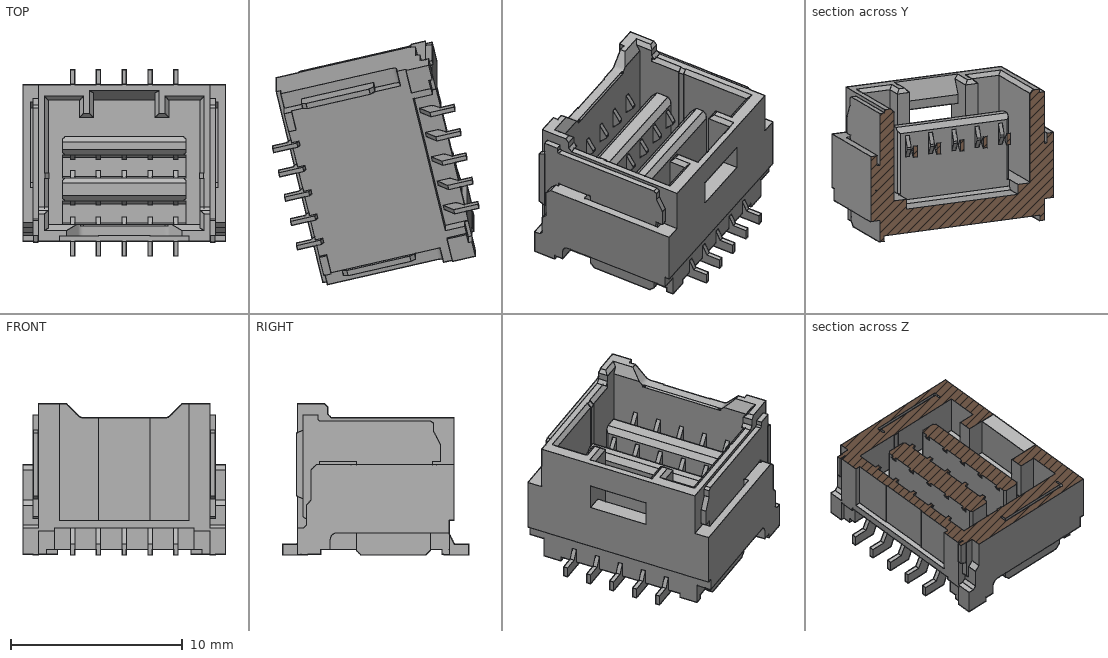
import cadquery as cq
import math


half_width = 5.0
half_depth = 4.56
base_z = 0.05
rim_z = 8.0
front_top_z = 8.82
front_block_y = -2.78
front_block_chamfer = 0.2
back_step_y = 4.29
back_step_z = 2.02

cavity_half_width = 4.42
cavity_front_y = -3.58
cavity_back_y = 3.65
cavity_floor_z = 2.4
rim_chamfer = 0.23
rib_inner_x = 1.8
rib_outer_x = 2.6
rib_front_y = 2.65
nub_back_y = -0.6
nub_length = 0.32
nub_height = 0.05
front_lip_y = -3.94
front_lead_in_bottom_z = 8.22

window_bottom_z = 4.84
window_top_z = 6.4
window_lead_in_z = 6.93
window_lead_in_y = 4.2

panel_half_width = 3.76
panel_bottom_z = 2.02
panel_y = -4.26
center_panel_half_width = 1.5
center_panel_y = -4.22
notch_top_half_width = 3.36
notch_fillet = 0.41
notch_edge_chamfer = 0.09

undercut_half_width = 4.07
undercut_top_z = 1.57
undercut_back_y = -3.2
body_bottom_z = 0.33
front_foot_y = -4.35
front_foot_back_y = -3.19
foot_step_x = 4.51
foot_top_z = 1.4
back_foot_y = 3.85
back_foot_inner_x = 3.88

flange_x = 5.9
flange_top_z = 5.27
flange_bottom_z = 1.3
flange_upper_front_y = -3.77
flange_lower_front_y = -4.04
flange_top_corner = 0.31
flange_step_top_z = 3.2
flange_step_bottom_z = 2.9
flange_ledge_corner = 0.18
flange_arch_y = -2.65
flange_arch_radius = 0.4

pocket_x = 5.46
pocket_depth = 0.6
pocket_back_y = 3.54
pocket_front_y = -1.44

plate_x = 5.32
plate_top_z = 7.8
plate_front_top_z = 8.16
plate_front_y = -4.22
plate_front_step_y = -3.36
plate_front_bottom_z = 2.13
plate_front_corner = 0.12
plate_step_corner = 0.1
plate_back_y = 3.76
plate_back_top_y = 3.36
plate_back_corner_y = 3.19
plate_back_corner_z = 7.68
plate_slope_top_z = 7.22
plate_slope_bottom_z = 6.45
plate_shoulder_z = 5.45
plate_neck_back_y = 3.31
plate_notch_front_y = -3.28
tab_back_y = 3.19
tab_front_y = -1.13
tab_corner = 0.28

blade_inner_x = 5.03
blade_outer_x = 5.28
blade_front_y = -4.62
blade_top_z = 7.28
blade_bottom_z = 3.28
blade_corner = 0.17

bar_half_length = 3.58
bar_top_z = 6.36
bar_chamfer = 0.31
bar_end_chamfer = 0.14
rear_bar_back_y = 1.53
rear_bar_front_y = 0.46
front_bar_back_y = -0.87
front_bar_front_y = -2.21
slot_floor_z = 1.8
slot_flare_height = 0.2
slot_front_flare = 0.09
rear_slot_back_flare = 0.14
front_slot_back_flare = 0.18

contact_top_z = 5.88
contact_tip_top_z = 5.23
contact_tip_bottom_z = 5.1
contact_bottom_z = 4.6
contact_front_reach = 0.25
contact_back_reach = 0.44
contact_root = 0.05

pin_pitch = 1.5
pin_count = 5
pin_width = 0.26
pin_tip_y = 5.425
pin_foot_height = 0.65
pin_bend_y = 4.58
pin_heel_y = 3.98
pin_root_y = 3.35
pin_lean = 0.46
pin_xs = [(i - (pin_count - 1) / 2) * pin_pitch for i in range(pin_count)]


def block(x0, x1, y0, y1, z0, z1):
    """Box given by its limits along each axis."""
    return cq.Workplane("XY").box(x1 - x0, y1 - y0, z1 - z0, centered=False).translate((x0, y0, z0))


def side_prism(points, x0, x1):
    """Prism along X over a closed (y, z) outline."""
    return cq.Workplane("YZ").polyline(points).close().extrude(x1 - x0).translate((x0, 0, 0))


def both_sides(solid):
    """The solid together with its mirror image across the YZ plane."""
    return solid.union(solid.mirror("YZ"))


def make_shell():
    sill_z = foot_top_z
    profile = [
        (-half_depth, sill_z),
        (-half_depth, front_top_z),
        (front_block_y, front_top_z),
        (front_block_y, rim_z),
        (half_depth, rim_z),
        (half_depth, back_step_z),
        (back_step_y, back_step_z),
        (back_step_y, body_bottom_z),
        (undercut_back_y, body_bottom_z),
        (undercut_back_y, sill_z),
    ]
    shell = side_prism(profile, -half_width, half_width)
    for edge_z in (front_top_z, rim_z):
        edge = cq.selectors.NearestToPointSelector((0, front_block_y, edge_z))
        shell = shell.edges(edge).chamfer(front_block_chamfer)
    undercut = block(-undercut_half_width, undercut_half_width, -half_depth, undercut_back_y,
                     body_bottom_z, undercut_top_z)
    return shell.cut(undercut)


def make_feet():
    front = block(undercut_half_width, half_width, front_foot_y, front_foot_back_y, body_bottom_z, foot_top_z)
    front_pad = block(foot_step_x, half_width, front_foot_y, front_foot_back_y, base_z, body_bottom_z)
    back = block(back_foot_inner_x, half_width, back_foot_y, back_step_y, base_z, body_bottom_z)
    return both_sides(front.union(front_pad).union(back))


def cavity_outline(offset):
    """Plan outline of the cavity, widened all round by the offset."""
    x_wall = cavity_half_width + offset
    x_rib_outer = rib_outer_x - offset
    x_rib_inner = rib_inner_x + offset
    y_front = cavity_front_y - offset
    y_back = cavity_back_y + offset
    y_rib = rib_front_y + offset
    right_half = [
        (x_wall, y_front),
        (x_wall, y_back),
        (x_rib_outer, y_back),
        (x_rib_outer, y_rib),
        (x_rib_inner, y_rib),
        (x_rib_inner, y_back),
    ]
    left_half = [(-x, y) for x, y in reversed(right_half)]
    return right_half + left_half


def make_cavity():
    chamfer_z = rim_z - rim_chamfer
    well = cq.Workplane("XY").workplane(offset=cavity_floor_z).polyline(cavity_outline(0)).close()
    well = well.extrude(rim_z - cavity_floor_z)
    mouth = cq.Workplane("XY").workplane(offset=chamfer_z).polyline(cavity_outline(0)).close()
    mouth = mouth.workplane(offset=rim_chamfer).polyline(cavity_outline(rim_chamfer)).close()
    mouth = mouth.loft(ruled=True)
    low_rim = block(-half_width, half_width, front_block_y, half_depth, chamfer_z, rim_z)
    return well.union(mouth.intersect(low_rim)).cut(make_nubs())


def make_nubs():
    """Slight thickening of each side wall, chamfered like the rim."""
    inner_x = cavity_half_width - nub_height
    outline = [
        (inner_x, cavity_floor_z),
        (inner_x, rim_z - rim_chamfer),
        (inner_x + rim_chamfer, rim_z),
        (half_width, rim_z),
        (half_width, cavity_floor_z),
    ]
    nub = cq.Workplane("XZ").polyline(outline).close().extrude(nub_length).translate((0, nub_back_y, 0))
    return both_sides(nub)


def make_front_opening():
    """Clearance between the tall front corners, with a lead-in along the sides and front."""
    profile = [
        (cavity_front_y, rim_z - rim_chamfer),
        (cavity_front_y, front_lead_in_bottom_z),
        (front_lip_y, front_top_z),
        (front_block_y + front_block_chamfer, front_top_z),
        (front_block_y + front_block_chamfer, rim_z - rim_chamfer),
    ]
    opening_half_width = cavity_half_width + rim_chamfer
    opening = side_prism(profile, -opening_half_width, opening_half_width)
    side_outline = [
        (-cavity_half_width, rim_z - rim_chamfer),
        (cavity_half_width, rim_z - rim_chamfer),
        (cavity_half_width, front_top_z - rim_chamfer),
        (opening_half_width, front_top_z),
        (-opening_half_width, front_top_z),
        (-cavity_half_width, front_top_z - rim_chamfer),
    ]
    sides = cq.Workplane("XZ").polyline(side_outline).close().extrude(half_depth)
    return opening.intersect(sides)


def make_window():
    opening = block(-rib_inner_x, rib_inner_x, cavity_back_y, half_depth, window_bottom_z, window_top_z)
    lead_in = side_prism(
        [(cavity_back_y, window_lead_in_z), (window_lead_in_y, rim_z), (cavity_back_y, rim_z)],
        -rib_inner_x - rim_chamfer, rib_inner_x + rim_chamfer)
    side_outline = [
        (-rib_inner_x, window_lead_in_z),
        (rib_inner_x, window_lead_in_z),
        (rib_inner_x, rim_z - rim_chamfer),
        (rib_inner_x + rim_chamfer, rim_z),
        (-rib_inner_x - rim_chamfer, rim_z),
        (-rib_inner_x, rim_z - rim_chamfer),
    ]
    sides = cq.Workplane("XZ").polyline(side_outline).close().extrude(-half_depth)
    return opening.union(lead_in.intersect(sides))


def make_front_panel():
    """Shallow recess on the front wall, a little deeper in the middle."""
    panel = block(-panel_half_width, panel_half_width, -half_depth, panel_y, panel_bottom_z, front_top_z)
    center = block(-center_panel_half_width, center_panel_half_width, -half_depth, center_panel_y,
                   panel_bottom_z, front_top_z)
    return panel.union(center)


def make_notch():
    """Notch with 45 degree sides in the top of the front wall."""
    bottom_half_width = notch_top_half_width - (front_top_z - rim_z)
    outline = [
        (-notch_top_half_width, front_top_z),
        (-bottom_half_width, rim_z),
        (bottom_half_width, rim_z),
        (notch_top_half_width, front_top_z),
    ]
    notch = cq.Workplane("XZ").polyline(outline).close().extrude(half_depth)
    notch = notch.faces("<Z").edges("|Y").fillet(notch_fillet)
    chamfer = [
        (cavity_front_y - notch_edge_chamfer, rim_z),
        (cavity_front_y, rim_z),
        (cavity_front_y, rim_z - notch_edge_chamfer),
    ]
    return notch.union(side_prism(chamfer, -bottom_half_width, bottom_half_width))


def make_flange():
    outline = [
        (half_depth, flange_top_z),
        (flange_upper_front_y + flange_top_corner, flange_top_z),
        (flange_upper_front_y, flange_top_z - flange_top_corner),
        (flange_upper_front_y, flange_step_top_z),
        (flange_lower_front_y, flange_step_bottom_z),
        (flange_lower_front_y, undercut_top_z + flange_ledge_corner),
        (flange_lower_front_y - flange_ledge_corner, undercut_top_z),
        (-half_depth, undercut_top_z),
        (-half_depth, base_z),
        (front_foot_back_y, base_z),
        (front_foot_back_y, body_bottom_z),
        (flange_arch_y, body_bottom_z),
        (flange_arch_y, flange_bottom_z),
        (back_step_y, flange_bottom_z),
        (back_step_y, back_step_z),
        (half_depth, back_step_z),
    ]
    flange = side_prism(outline, half_width, flange_x)
    arch_corner = cq.selectors.NearestToPointSelector(
        ((half_width + flange_x) / 2, flange_arch_y, flange_bottom_z))
    return flange.edges(arch_corner).fillet(flange_arch_radius)


def make_flange_pocket():
    """Pocket in the flange top, narrowing downward to the tab of the plate."""
    outline = [
        (pocket_back_y, flange_top_z),
        (pocket_front_y, flange_top_z),
        (tab_front_y, flange_top_z - pocket_depth),
        (tab_back_y, flange_top_z - pocket_depth),
    ]
    return side_prism(outline, half_width, pocket_x)


def make_plate():
    """Side plate with a solder tab through the flange and a blade along its front edge."""
    outline = [
        (tab_back_y, tab_corner),
        (tab_back_y - tab_corner, 0),
        (tab_front_y + tab_corner, 0),
        (tab_front_y, tab_corner),
        (tab_front_y, plate_shoulder_z),
        (plate_notch_front_y, plate_shoulder_z),
        (plate_notch_front_y, plate_front_bottom_z),
        (plate_front_y + plate_front_corner, plate_front_bottom_z),
        (plate_front_y, plate_front_bottom_z + plate_front_corner),
        (plate_front_y, plate_front_top_z),
        (plate_front_step_y, plate_front_top_z),
        (plate_front_step_y, plate_top_z + plate_step_corner),
        (plate_front_step_y + plate_step_corner, plate_top_z),
        (plate_back_corner_y, plate_top_z),
        (plate_back_top_y, plate_back_corner_z),
        (plate_back_top_y, plate_slope_top_z),
        (plate_back_y, plate_slope_bottom_z),
        (plate_back_y, plate_shoulder_z),
        (plate_neck_back_y, plate_shoulder_z),
        (plate_neck_back_y, flange_top_z),
        (tab_back_y, flange_top_z - pocket_depth),
    ]
    blade_outline = [
        (plate_front_y, blade_top_z),
        (blade_front_y, blade_top_z - blade_corner),
        (blade_front_y, blade_bottom_z + blade_corner),
        (plate_front_y, blade_bottom_z),
    ]
    blade = side_prism(blade_outline, blade_inner_x, blade_outer_x)
    return side_prism(outline, half_width, plate_x).union(blade)


def make_slot(back_y, back_flare, front_y):
    """Slot down into the floor between two walls, with a sloping foot on each wall."""
    flare_z = slot_floor_z + slot_flare_height
    outline = [
        (back_y, cavity_floor_z),
        (back_y, flare_z),
        (back_y - back_flare, slot_floor_z),
        (front_y + slot_front_flare, slot_floor_z),
        (front_y, flare_z),
        (front_y, cavity_floor_z),
    ]
    return side_prism(outline, -bar_half_length, bar_half_length)


def make_bar(back_y, front_y):
    """Upright bar with chamfered top edges and chamfered ends."""
    bar = block(-bar_half_length, bar_half_length, front_y, back_y, cavity_floor_z, bar_top_z)
    bar = bar.edges("|Z").chamfer(bar_end_chamfer)
    shoulder_z = bar_top_z - bar_chamfer
    envelope = side_prism(
        [
            (front_y, cavity_floor_z),
            (front_y, shoulder_z),
            (front_y + bar_chamfer, bar_top_z),
            (back_y - bar_chamfer, bar_top_z),
            (back_y, shoulder_z),
            (back_y, cavity_floor_z),
        ],
        -bar_half_length, bar_half_length)
    return bar.intersect(envelope)


def make_contact(x, wall_y, reach):
    """Bent spring contact on a wall; a positive reach stands out toward +Y."""
    root_y = wall_y - math.copysign(contact_root, reach)
    tip_y = wall_y + reach
    outline = [
        (root_y, contact_top_z),
        (wall_y, contact_top_z),
        (tip_y, contact_tip_top_z),
        (tip_y, contact_tip_bottom_z),
        (wall_y, contact_bottom_z),
        (root_y, contact_bottom_z),
    ]
    return side_prism(outline, x - pin_width / 2, x + pin_width / 2)


def make_pin(x):
    outline = [
        (-pin_tip_y, 0),
        (-pin_tip_y, pin_foot_height),
        (-pin_bend_y, pin_foot_height),
        (-pin_bend_y + pin_lean, undercut_top_z),
        (-pin_bend_y + pin_lean, slot_floor_z),
        (-pin_root_y, slot_floor_z),
        (-pin_root_y, undercut_top_z),
        (-pin_heel_y, 0),
    ]
    return side_prism(outline, x - pin_width / 2, x + pin_width / 2)


housing = make_shell().union(make_feet())
for cutter in (make_cavity(), make_front_opening(), make_window(), make_front_panel(), make_notch()):
    housing = housing.cut(cutter)
housing = housing.cut(make_slot(rear_bar_front_y, rear_slot_back_flare, front_bar_back_y))
housing = housing.cut(make_slot(front_bar_front_y, front_slot_back_flare, cavity_front_y))
housing = housing.union(make_bar(rear_bar_back_y, rear_bar_front_y))
housing = housing.union(make_bar(front_bar_back_y, front_bar_front_y))

side = make_flange().cut(make_flange_pocket()).union(make_plate())
result = housing.union(both_sides(side))

for x in pin_xs:
    pin = make_pin(x)
    result = result.union(pin).union(pin.mirror("XZ"))
    for wall_y in (rear_bar_front_y, front_bar_front_y):
        result = result.union(make_contact(x, wall_y, -contact_front_reach))
    for wall_y in (front_bar_back_y, cavity_front_y):
        result = result.union(make_contact(x, wall_y, contact_back_reach))